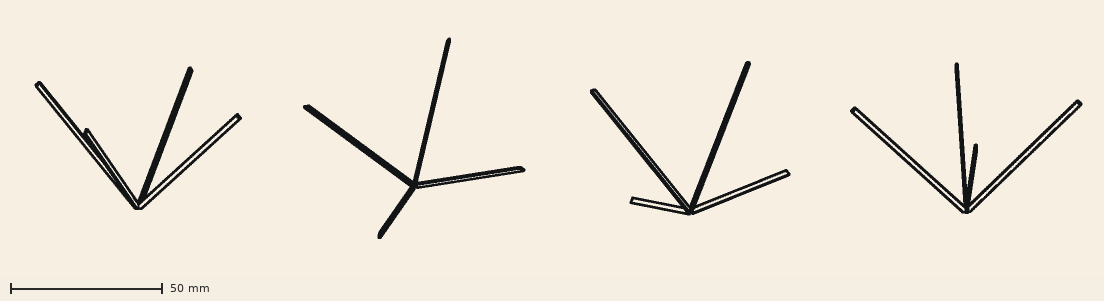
import cadquery as cq
import math

span = 53.95
height = span / math.sqrt(2)
strip_thickness = 0.7
strip_width = 1.7
arm_count = 4
first_arm_angle = 45.0
slope_angle = 45.0

corner_drop = strip_width / math.sqrt(2)
tip_radius = span / math.sqrt(2)
upper_corner = (tip_radius - corner_drop, height)
lower_corner = (tip_radius, height - corner_drop)

axis_top = upper_corner[1] - upper_corner[0]
foot_radius = lower_corner[0] - lower_corner[1]

half_thickness = strip_thickness / 2
wedge_length = half_thickness * math.sqrt(2)
strip_length = (upper_corner[0] + upper_corner[1]) / math.sqrt(2)


def wedge_envelope():
    """A 45 degree bar, pointed at its outer end, that encloses one strip."""
    shoulder = strip_length - wedge_length
    outline = [
        (-strip_width, -half_thickness),
        (shoulder, -half_thickness),
        (strip_length, 0),
        (shoulder, half_thickness),
        (-strip_width, half_thickness),
    ]
    bar = cq.Workplane("XY").polyline(outline).close().extrude(strip_width, both=True)
    return bar.rotate((0, 0, 0), (0, 1, 0), -slope_angle)


def arm(angle):
    """One strip with its inner end on the Z axis, turned to the given angle."""
    outline = [(0, 0), (foot_radius, 0), lower_corner, upper_corner, (0, axis_top)]
    strip = cq.Workplane("XZ").polyline(outline).close().extrude(half_thickness, both=True)
    return strip.intersect(wedge_envelope()).rotate((0, 0, 0), (0, 0, 1), angle)


result = arm(first_arm_angle)
for index in range(1, arm_count):
    result = result.union(arm(first_arm_angle + index * 360 / arm_count))